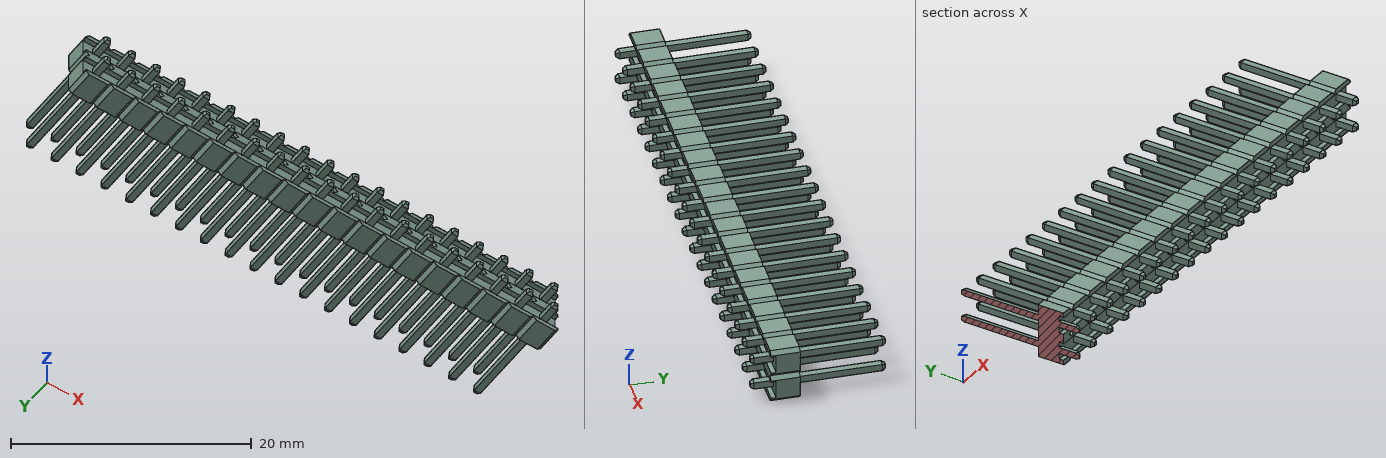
import cadquery as cq

overall_length = 48.25
columns = 19
rows = 2
pitch = overall_length / columns

body_depth = 2.5
corner_chamfer = 0.35
groove_height = 1.6
groove_depth = 0.45

pin_width = 0.65
pin_length = 11.6
pin_front_reach = 1.5
tip_length = 0.3
tip_inset = 0.15

column_centers = [(i - (columns - 1) / 2) * pitch for i in range(columns)]
row_centers = [(i - (rows - 1) / 2) * pitch for i in range(rows)]
cell_centers = [(x, z) for x in column_centers for z in row_centers]


def make_cell():
    """One octagonal body cell, spanning Y = 0 to body_depth."""
    block = cq.Workplane("XY").box(pitch, body_depth, pitch)
    return block.edges("|Y").chamfer(corner_chamfer).translate((0, body_depth / 2, 0))


def make_groove():
    """Cutter for the full-length groove along one row of the body's -Y face."""
    groove = cq.Workplane("XY").box(overall_length, groove_depth, groove_height)
    return groove.translate((0, groove_depth / 2, 0))


def make_pin():
    """One square pin, tapered on all four sides at both tips."""
    half_width = pin_width / 2
    half_tip = half_width - tip_inset
    front = -pin_front_reach
    back = front + pin_length
    profile = [
        (-half_tip, front),
        (half_tip, front),
        (half_width, front + tip_length),
        (half_width, back - tip_length),
        (half_tip, back),
        (-half_tip, back),
        (-half_width, back - tip_length),
        (-half_width, front + tip_length),
    ]
    tapered_in_x = cq.Workplane("XY").polyline(profile).close().extrude(half_width, both=True)
    tapered_in_z = tapered_in_x.rotate((0, 0, 0), (0, 1, 0), 90)
    return tapered_in_x.intersect(tapered_in_z)


def repeat(shape, centers):
    """Fuse copies of a shape placed at the given (x, z) centers."""
    copies = [shape.val().translate(cq.Vector(x, 0, z)) for x, z in centers]
    return cq.Workplane(copies[0].fuse(*copies[1:]))


body = repeat(make_cell(), cell_centers).clean()
for row_center in row_centers:
    body = body.cut(make_groove().translate((0, 0, row_center)))

pins = repeat(make_pin(), cell_centers)
result = body.union(pins)